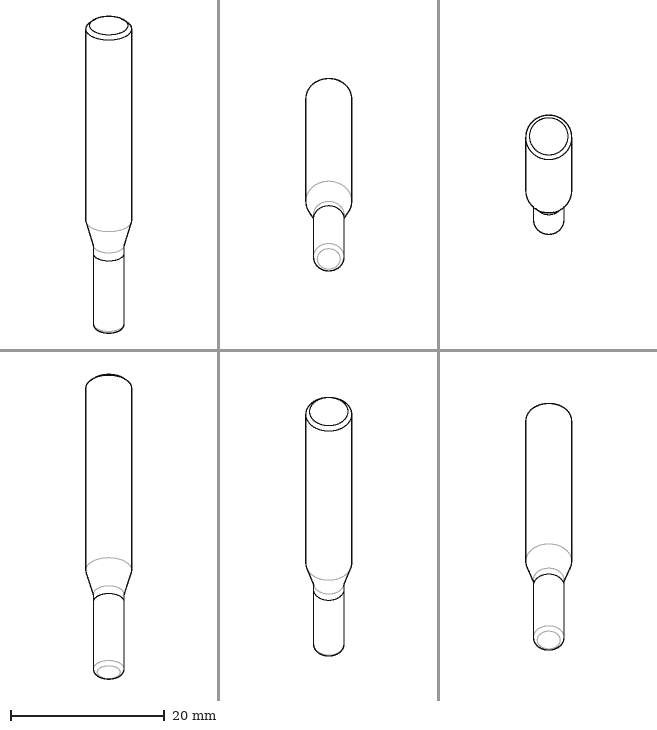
import cadquery as cq
import math

total_length = 45.0

cutter_radius = 2.0
cutter_length = 11.0
corner_radius = 0.5

neck_radius = cutter_radius
neck_length = 1.2
shank_radius = 3.0
taper_half_angle = math.radians(15)
shank_chamfer = 0.5

neck_top = cutter_length + neck_length
shank_bottom = neck_top + (shank_radius - neck_radius) / math.tan(taper_half_angle)


def revolve_about_z(profile):
    """Revolve a half profile, drawn as (-Y, Z) points, about the Z axis."""
    return profile.close().revolve(360, (0, 0, 0), (0, 1, 0))


def make_cutting_head():
    """Straight cylinder with a rounded corner around its tip."""
    corner_offset = corner_radius * math.sin(math.radians(45))
    corner_mid = (
        -(cutter_radius - corner_radius + corner_offset),
        corner_radius - corner_offset,
    )
    profile = (
        cq.Workplane("YZ")
        .lineTo(-(cutter_radius - corner_radius), 0)
        .threePointArc(corner_mid, (-cutter_radius, corner_radius))
        .lineTo(-cutter_radius, cutter_length)
        .lineTo(0, cutter_length)
    )
    return revolve_about_z(profile)


def make_holder():
    """Neck that widens through a taper into a shank with a chamfered end."""
    profile = (
        cq.Workplane("YZ")
        .moveTo(0, cutter_length)
        .lineTo(-neck_radius, cutter_length)
        .lineTo(-neck_radius, neck_top)
        .lineTo(-shank_radius, shank_bottom)
        .lineTo(-shank_radius, total_length - shank_chamfer)
        .lineTo(-(shank_radius - shank_chamfer), total_length)
        .lineTo(0, total_length)
    )
    return revolve_about_z(profile)


cutting_head = make_cutting_head()
holder = make_holder()

result = cq.Compound.makeCompound([cutting_head.val(), holder.val()])